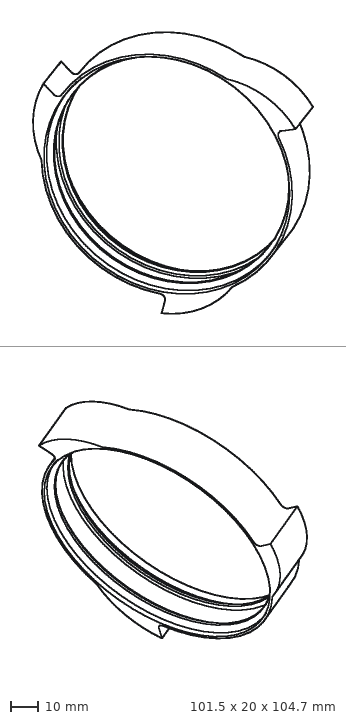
import cadquery as cq
import math

ring_width = 20.0
outer_radius = 48.5
bore_radius = 95.0 / 2
rib_radius = 91.0 / 2

rib_height = bore_radius - rib_radius
rib_crest = 1.0
front_land = 3.0
rear_land = 2.0
groove_wall_height = 1.0

tooth_count = 3
tooth_pitch = 360.0 / tooth_count
tip_radius = 56.27
tip_angle = 27.9
back_start_angle = 61.5
back_arc_radius = 35.0
hook_face_angle = 16.0
hook_fillet_radius = 2.0


def polar(radius, angle):
    """Point at a radius and an angle (degrees) in the plane across the axis."""
    return cq.Vector(radius * math.cos(math.radians(angle)), radius * math.sin(math.radians(angle)))


def hook_root():
    """Point where the straight hook face runs into the outside of the ring."""
    line_offset = tip_radius * math.sin(math.radians(tip_angle - hook_face_angle))
    root_angle = hook_face_angle + math.degrees(math.asin(line_offset / outer_radius))
    return polar(outer_radius, root_angle)


def back_arc_middle(start, end):
    """Middle point of the bulging tooth back, an arc from start to end."""
    chord = end - start
    half_chord = chord.Length / 2
    bulge = back_arc_radius - math.sqrt(back_arc_radius**2 - half_chord**2)
    outward = cq.Vector(chord.y, -chord.x).normalized()
    return (start + end) * 0.5 + outward * bulge


def across_axis():
    """Workplane at the front face, with X to the right and Z up."""
    return cq.Workplane("XZ")


def make_tooth():
    """One tooth: sharp tip, bulging back and a straight hook face, rooted in the ring wall."""
    tip = polar(tip_radius, tip_angle)
    back_start = polar(outer_radius, back_start_angle)
    inner_root = polar(bore_radius, tip_angle)
    inner_back = polar(bore_radius, back_start_angle)
    inner_middle = polar(bore_radius, (tip_angle + back_start_angle) / 2)
    return (
        across_axis()
        .moveTo(tip.x, tip.y)
        .threePointArc(back_arc_middle(tip, back_start).toTuple()[:2], (back_start.x, back_start.y))
        .lineTo(inner_back.x, inner_back.y)
        .threePointArc((inner_middle.x, inner_middle.y), (inner_root.x, inner_root.y))
        .lineTo(hook_root().x, hook_root().y)
        .close()
        .extrude(-ring_width)
    )


def make_toothed_blank():
    """Solid disc with the teeth spaced evenly around it."""
    blank = across_axis().circle(outer_radius).extrude(-ring_width)
    tooth = make_tooth()
    for index in range(tooth_count):
        blank = blank.union(tooth.rotate((0, 0, 0), (0, 1, 0), -index * tooth_pitch))
    return blank


def fillet_hook_roots(body):
    """Round the inside corner between each hook face and the ring."""
    root = hook_root()
    root_middle = cq.Vector(root.x, ring_width / 2, root.y)
    for index in range(tooth_count):
        turn = cq.Plane.XY().rotated((0, -index * tooth_pitch, 0))
        corner = turn.toWorldCoords(root_middle.toTuple())
        body = body.edges("|Y").edges(cq.NearestToPointSelector(corner.toTuple())).fillet(hook_fillet_radius)
    return body


def make_bore():
    """Revolved cutter whose outline leaves the two ribs standing."""
    front_crest = front_land + rib_height
    groove_start = front_crest + rib_crest
    rear_ramp_end = ring_width - rear_land
    rear_crest_end = rear_ramp_end - rib_height
    rear_crest_start = rear_crest_end - rib_crest
    groove_end = rear_crest_start - (rib_height - groove_wall_height)
    outline = [
        (0, 0),
        (bore_radius, 0),
        (bore_radius, front_land),
        (rib_radius, front_crest),
        (rib_radius, groove_start),
        (bore_radius, groove_start),
        (bore_radius, groove_end),
        (bore_radius - groove_wall_height, groove_end),
        (rib_radius, rear_crest_start),
        (rib_radius, rear_crest_end),
        (bore_radius, rear_ramp_end),
        (bore_radius, ring_width),
        (0, ring_width),
    ]
    return cq.Workplane("XY").polyline(outline).close().revolve(360, (0, 0, 0), (0, 1, 0))


result = fillet_hook_roots(make_toothed_blank()).cut(make_bore())